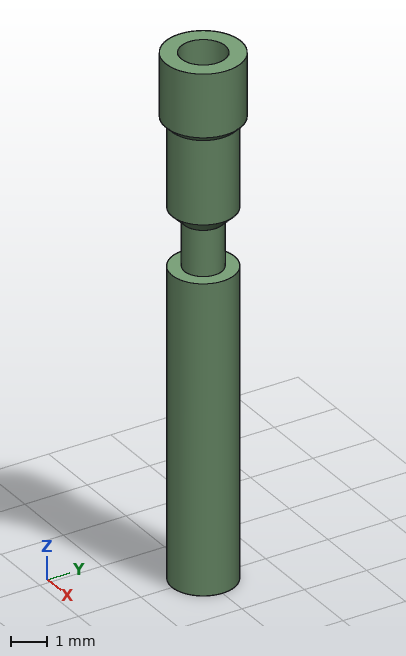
import cadquery as cq
import math

total_length = 16.5
head_radius = 1.2
shank_radius = 1.0
neck_radius = 0.6

head_depth = 2.0
neck_top_depth = 5.25
neck_bottom_depth = 6.7

bore_radius = 0.7
bore_depth = 4.0
cone_angle = 150.0

head_bottom = total_length - head_depth
head_taper_bottom = head_bottom - (head_radius - shank_radius)
neck_top = total_length - neck_top_depth
neck_taper_top = neck_top + (shank_radius - neck_radius)
neck_bottom = total_length - neck_bottom_depth


def revolve_profile(points):
    """Turn a closed (radius, height) outline about the Z axis."""
    return cq.Workplane("XZ").polyline(points).close().revolve(360, (0, 0, 0), (0, 1, 0))


def make_body():
    return revolve_profile([
        (0, 0),
        (shank_radius, 0),
        (shank_radius, neck_bottom),
        (neck_radius, neck_bottom),
        (neck_radius, neck_top),
        (shank_radius, neck_taper_top),
        (shank_radius, head_taper_bottom),
        (head_radius, head_bottom),
        (head_radius, total_length),
        (0, total_length),
    ])


def make_bore():
    shoulder = total_length - bore_depth
    cone_height = bore_radius / math.tan(math.radians(cone_angle / 2))
    return revolve_profile([
        (0, shoulder - cone_height),
        (bore_radius, shoulder),
        (bore_radius, total_length),
        (0, total_length),
    ])


result = make_body().cut(make_bore())